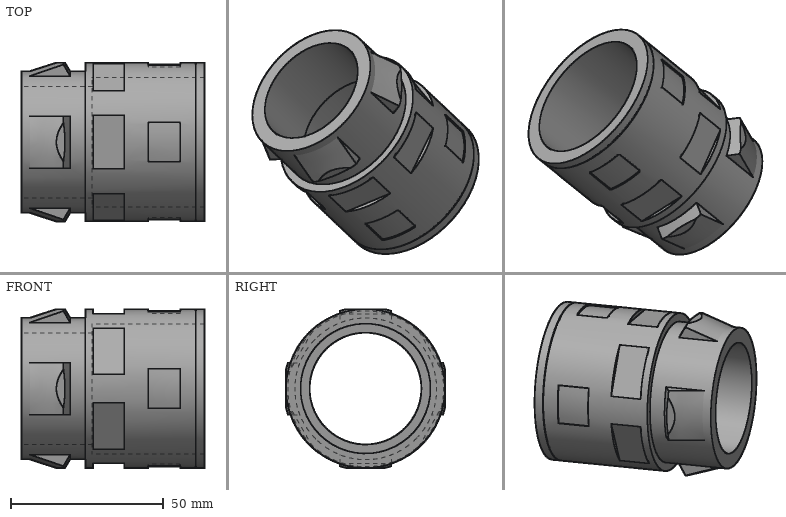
import cadquery as cq

full_turn = 360.0
quarter_turn = full_turn / 4

length = 60.0
shoulder_x = 21.0
end_ring_x = 57.1

seam_width = 0.1

bore_diameter = 36.5
counterbore_diameter = 42.5
collar_diameter = 46.4
recess_floor_diameter = 51.0
body_diameter = 52.0

counterbore_depth = 37.0

clip_count = 4
clip_width = 17.0
clip_start_x = 2.8
clip_ridge_x = 13.8
clip_end_x = 16.0
clip_ridge_radius = 26.75

flat_count = 6
flat_across = 49.0
flat_start_x = 23.5
flat_end_x = 33.6

pocket_pair = 2
pocket_width = 13.0
pocket_start_x = 41.5
pocket_end_x = 52.0
pocket_corner_radius = 0.5


def cylinder(diameter, start_x, end_x):
    """Solid cylinder on the X axis between two stations."""
    return cq.Workplane("YZ", origin=(start_x, 0, 0)).circle(diameter / 2).extrude(end_x - start_x)


def radial_block(start_x, end_x, width, inner_radius, outer_radius):
    """Block on the +Z side, centred on Y = 0."""
    size = (end_x - start_x, width, outer_radius - inner_radius)
    return cq.Workplane("XY", origin=(start_x, 0, inner_radius)).box(*size, centered=(False, True, False))


def around_axis(shape, count):
    """Copies of a shape evenly spaced about the X axis."""
    return [shape.rotate((0, 0, 0), (1, 0, 0), i * full_turn / count) for i in range(count)]


def make_clip():
    """Double-cone barb trimmed to the clip width and flattened level with the body."""
    collar_radius = collar_diameter / 2
    root_radius = (bore_diameter + collar_diameter) / 4
    barb = (
        cq.Workplane("XZ")
        .moveTo(clip_start_x, root_radius)
        .lineTo(clip_start_x, collar_radius)
        .lineTo(clip_ridge_x, clip_ridge_radius)
        .lineTo(clip_end_x, collar_radius)
        .lineTo(clip_end_x, root_radius)
        .close()
        .revolve(full_turn, (0, 0, 0), (1, 0, 0))
    )
    envelope = radial_block(clip_start_x, clip_end_x, clip_width, 0, body_diameter / 2)
    return barb.intersect(envelope)


def make_flat_cutter():
    """Block that leaves one wrench flat."""
    return radial_block(flat_start_x, flat_end_x, body_diameter, flat_across / 2, body_diameter)


def make_pocket_cutter(corner_radius=0):
    """Block that leaves a shallow pocket with a cylindrical floor."""
    block = radial_block(pocket_start_x, pocket_end_x, pocket_width, 0, body_diameter)
    if corner_radius > 0:
        block = block.edges("|Z").fillet(corner_radius)
    return block.cut(cylinder(recess_floor_diameter, pocket_start_x, pocket_end_x))


def make_seam_cutter():
    """Thin ring that leaves the hairline groove in front of the end ring."""
    seam_start_x = end_ring_x - seam_width
    outer = cylinder(body_diameter, seam_start_x, end_ring_x)
    return outer.cut(cylinder(recess_floor_diameter, seam_start_x, end_ring_x))


collar = cylinder(collar_diameter, 0, shoulder_x)
body = cylinder(body_diameter, shoulder_x, length)
result = collar.union(body)

for clip in around_axis(make_clip(), clip_count):
    result = result.union(clip)

for cutter in around_axis(make_flat_cutter(), flat_count):
    result = result.cut(cutter)

for cutter in around_axis(make_pocket_cutter(pocket_corner_radius), pocket_pair):
    result = result.cut(cutter)

for cutter in around_axis(make_pocket_cutter(), pocket_pair):
    result = result.cut(cutter.rotate((0, 0, 0), (1, 0, 0), quarter_turn))

result = result.cut(make_seam_cutter())
result = result.cut(cylinder(bore_diameter, 0, length))
result = result.cut(cylinder(counterbore_diameter, length - counterbore_depth, length))